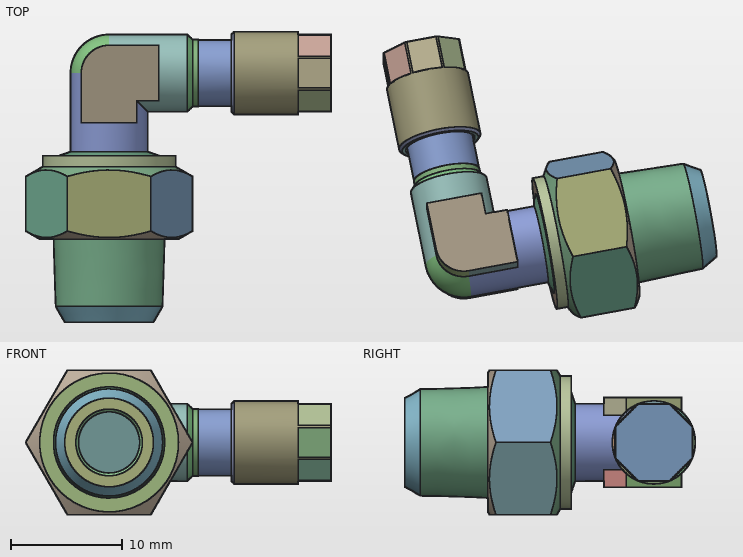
import cadquery as cq
import math

pipe_radius = 3.5
pad_radius = 2.5
pad_length = 4.48
pad_half_height = 4.05

shoulder_x = 7.02
neck_x = 7.5
ring_x = 8.0
sleeve_x = 11.0
octagon_x = 17.0
end_x = 20.0

neck_radius = 3.0
ring_radius = 3.03
sleeve_radius = 3.75
sleeve_chamfer = 0.25
octagon_sides = 8
octagon_flats = 2 * pipe_radius
octagon_chamfer = 0.05
sleeve_recess_radius = 3.15
sleeve_recess_depth = 0.55

flare_start = 7.07
collar_start = 7.43
nut_start = 8.42
nut_end = 14.95
thread_end = 21.0
tip_end = 22.42

flare_radius = 4.55
collar_radius = 6.0
nut_sides = 6
nut_flats = 13.0
nut_rear_radius = collar_radius
nut_front_radius = 6.25
chamfer_angle = math.radians(30)
thread_radius = 5.0
thread_taper = 1 / 16

bore_mouth_radius = 3.0
bore_radius = 2.75
bore_depth = 1.32
bore_chamfer = 0.28


def turned_x(profile):
    """Revolve (x, radius) points about the X axis."""
    closed = [(profile[0][0], 0)] + profile + [(profile[-1][0], 0)]
    return cq.Workplane("XY").polyline(closed).close().revolve(360, (0, 0, 0), (1, 0, 0))


def turned_y(profile):
    """Revolve (distance towards -Y, radius) points about the Y axis."""
    closed = [(profile[0][0], 0)] + profile + [(profile[-1][0], 0)]
    outline = [(radius, -distance) for distance, radius in closed]
    return cq.Workplane("XY").polyline(outline).close().revolve(360, (0, 0, 0), (0, 1, 0))


def corner_diameter(flats, sides):
    """Distance across the corners of a regular polygon, from its distance across flats."""
    return flats / math.cos(math.pi / sides)


def wrench_pad():
    """L-shaped block with a rounded outer corner, standing proud above and below the elbow."""
    corner = pad_radius * math.sqrt(0.5)
    return (
        cq.Workplane("XY", origin=(0, 0, -pad_half_height))
        .moveTo(-pad_radius, 0)
        .threePointArc((-corner, corner), (0, pad_radius))
        .lineTo(pad_length, pad_radius)
        .lineTo(pad_length, -pad_radius)
        .lineTo(pad_radius, -pad_radius)
        .lineTo(pad_radius, -pad_length)
        .lineTo(-pad_radius, -pad_length)
        .close()
        .extrude(2 * pad_half_height)
    )


def side_arm():
    """Pipe, neck and ring along +X, ending where the octagon begins."""
    return turned_x([
        (0, pipe_radius),
        (shoulder_x, pipe_radius),
        (neck_x, ring_radius),
        (ring_x, ring_radius),
        (ring_x, neck_radius),
        (octagon_x, neck_radius),
    ])


def sleeve():
    """Round sleeve with a recessed rear face and an octagonal wrench end."""
    body = turned_x([
        (sleeve_x, sleeve_radius - sleeve_chamfer),
        (sleeve_x + sleeve_chamfer, sleeve_radius),
        (end_x, sleeve_radius),
    ])
    across_corners = corner_diameter(octagon_flats, octagon_sides)
    half_side_angle = 180 / octagon_sides
    octagon = (
        cq.Workplane("YZ", origin=(octagon_x, 0, 0))
        .transformed(rotate=(0, 0, half_side_angle))
        .polygon(octagon_sides, across_corners)
        .extrude(end_x - octagon_x)
        .faces(">X")
        .chamfer(octagon_chamfer)
    )
    envelope = cq.Workplane("YZ").circle(sleeve_radius).extrude(octagon_x).union(octagon)
    recess = (
        cq.Workplane("YZ", origin=(sleeve_x, 0, 0))
        .circle(sleeve_recess_radius)
        .extrude(sleeve_recess_depth)
    )
    return body.intersect(envelope).cut(recess)


def nut():
    """Hexagonal nut with corners pointing along X, both ends coned at 30 degrees."""
    across_corners = corner_diameter(nut_flats, nut_sides)
    corner_radius = across_corners / 2
    rear_slope = (corner_radius - nut_rear_radius) * math.tan(chamfer_angle)
    front_slope = (corner_radius - nut_front_radius) * math.tan(chamfer_angle)
    hexagon = (
        cq.Workplane("XZ", origin=(0, -nut_start, 0))
        .polygon(nut_sides, across_corners)
        .extrude(nut_end - nut_start)
    )
    cones = turned_y([
        (nut_start, nut_rear_radius),
        (nut_start + rear_slope, corner_radius),
        (nut_end - front_slope, corner_radius),
        (nut_end, nut_front_radius),
    ])
    return hexagon.intersect(cones)


def nut_arm():
    """Pipe, flare and collar along -Y up to the nut."""
    return turned_y([
        (0, pipe_radius),
        (flare_start, pipe_radius),
        (collar_start, flare_radius),
        (collar_start, collar_radius),
        (nut_start, collar_radius),
    ])


def threaded_end():
    """Tapered thread body with a coned tip."""
    thread_end_radius = thread_radius - (thread_end - nut_end) * thread_taper / 2
    tip_radius = thread_end_radius - (tip_end - thread_end) * math.tan(chamfer_angle)
    return turned_y([
        (nut_end, thread_radius),
        (thread_end, thread_end_radius),
        (tip_end, tip_radius),
    ])


def bore():
    """Blind bore in the tip with a chamfered mouth."""
    return turned_y([
        (tip_end - bore_depth, bore_radius),
        (tip_end - bore_chamfer, bore_radius),
        (tip_end, bore_mouth_radius),
    ])


elbow = cq.Workplane("XY").sphere(pipe_radius).union(wrench_pad())
result = (
    elbow.union(side_arm())
    .union(sleeve())
    .union(nut_arm())
    .union(nut())
    .union(threaded_end())
    .cut(bore())
)